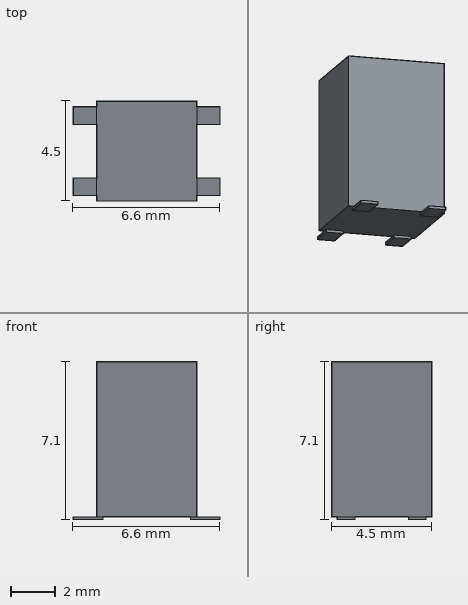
import cadquery as cq

total_length = 6.6
total_height = 7.1

housing_side = 4.5

lead_length = 1.34
lead_width = 0.8
lead_thickness = 0.12
lead_pitch = 3.195

housing_height = total_height - lead_thickness
lead_center_x = (total_length - lead_length) / 2


def make_housing():
    """Plain block resting on top of the leads."""
    return (
        cq.Workplane("XY")
        .workplane(offset=lead_thickness)
        .rect(housing_side, housing_side)
        .extrude(housing_height)
    )


def make_lead(side_x, side_y):
    """Flat strip lying on the base plane, partly under the housing."""
    return (
        cq.Workplane("XY")
        .center(side_x * lead_center_x, side_y * lead_pitch / 2)
        .rect(lead_length, lead_width)
        .extrude(lead_thickness)
    )


housing = make_housing()
leads = [make_lead(side_x, side_y) for side_x in (-1, 1) for side_y in (-1, 1)]

result = cq.Compound.makeCompound([housing.val(), *[lead.val() for lead in leads]])